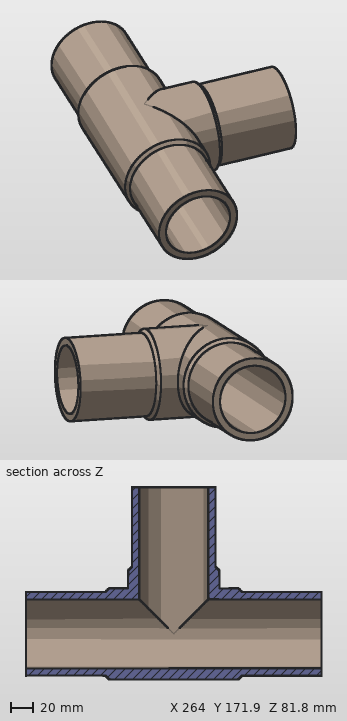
import cadquery as cq

pipe_diameter = 75.0
wall = 6.8
body_diameter = 81.8
run_length = 264.0
branch_reach = 131.0
spigot_length = 71.0

pipe_radius = pipe_diameter / 2
body_radius = body_diameter / 2
bore_radius = pipe_radius - wall
run_reach = run_length / 2
shoulder = body_radius - pipe_radius

RUN_ENDS = (cq.Vector(1, 0, 0), cq.Vector(-1, 0, 0))
BRANCH_END = cq.Vector(0, 1, 0)


def cylinder(radius, length, direction):
    """Cylinder starting at the tee centre and pointing along direction."""
    return cq.Workplane(obj=cq.Solid.makeCylinder(radius, length, cq.Vector(), direction))


def arm(reach, direction):
    """Solid arm: thick body, chamfered shoulder and plain spigot."""
    collar_length = reach - spigot_length
    axis_plane = cq.Plane(origin=(0, 0, 0), xDir=(0, 0, 1), normal=direction)
    collar = (
        cq.Workplane(axis_plane)
        .circle(body_radius)
        .extrude(collar_length)
        .faces(cq.selectors.DirectionMinMaxSelector(direction, True))
        .chamfer(shoulder)
    )
    return collar.union(cylinder(pipe_radius, reach, direction))


def make_tee():
    arms = [(run_reach, direction) for direction in RUN_ENDS]
    arms.append((branch_reach, BRANCH_END))

    tee = cq.Workplane()
    for reach, direction in arms:
        tee = tee.add(arm(reach, direction))
    tee = tee.combine()
    for reach, direction in arms:
        tee = tee.cut(cylinder(bore_radius, reach, direction))
    return tee


result = make_tee()